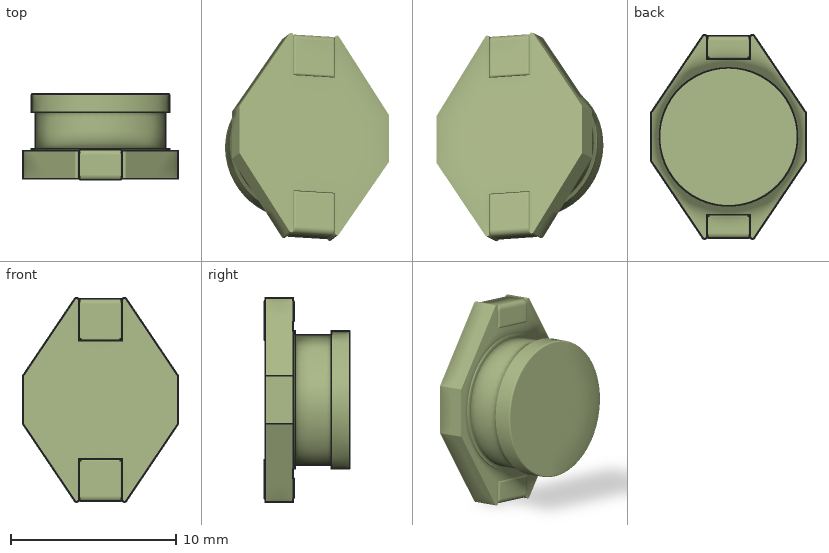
import cadquery as cq
import math

plate_half_width = 4.7
plate_half_height = 6.18
plate_side_half_height = 1.46
plate_thickness = 1.71
horn_radius = 0.14

terminal_half_width = 1.29
terminal_top = 6.14
terminal_bend_radius = 0.31
terminal_edge_radius = 0.11
terminal_thickness = 0.2
terminal_proud = 0.06
front_leg_end = 3.6
back_leg_end = 4.73
terminal_gap = 0.02

flange_radius = 4.18
barrel_radius = 3.96
lower_flange_top = 1.82
upper_flange_bottom = 4.02
spool_top = 5.15
spool_edge_radius = 0.09

pocket_half_width = terminal_half_width + terminal_gap
terminal_front = -terminal_proud
terminal_back = plate_thickness + terminal_proud
terminal_floor = terminal_top - terminal_thickness
front_leg_inside = terminal_front + terminal_thickness
back_leg_inside = terminal_back - terminal_thickness


def box_between(x_range, y_range, z_range):
    """Box spanning the given (low, high) ranges."""
    sizes = [high - low for low, high in (x_range, y_range, z_range)]
    corner = (x_range[0], y_range[0], z_range[0])
    return cq.Workplane("XY").box(*sizes, centered=False).translate(corner)


def make_end_pocket():
    """Seat for the upper terminal: open at the top, with a recess for each leg."""
    x_range = (-pocket_half_width, pocket_half_width)
    above_plate = 2 * plate_half_height
    front_recess_end = front_leg_end - terminal_gap
    back_recess_end = back_leg_end - terminal_gap
    notch = box_between(x_range, (0, plate_thickness), (terminal_floor, above_plate))
    front = box_between(x_range, (0, front_leg_inside), (front_recess_end, above_plate))
    back = box_between(x_range, (back_leg_inside, plate_thickness), (back_recess_end, above_plate))
    return notch.union(front).union(back)


def make_plate():
    """Octagon with a seat at each end; the horns left beside the seats have round tips."""
    tip_run = plate_half_width - pocket_half_width - horn_radius
    tip_rise = plate_half_height - horn_radius - plate_side_half_height
    tangent_turn = math.asin(horn_radius / math.hypot(tip_run, tip_rise))
    slant_angle = math.atan2(tip_rise, tip_run) + tangent_turn
    peak = plate_side_half_height + (plate_half_width - pocket_half_width) * math.tan(slant_angle)
    quarter = [
        (plate_half_width, plate_side_half_height),
        (pocket_half_width, peak),
        (pocket_half_width, terminal_floor),
    ]
    upper = quarter + [(-x, z) for x, z in reversed(quarter)]
    lower = [(-x, -z) for x, z in upper]
    plate = cq.Workplane("XZ").polyline(upper + lower).close().extrude(-plate_thickness)
    return plate.edges("|Y").edges(">Z or <Z").fillet(horn_radius)


def make_terminal():
    """Upper terminal clip with bent outer corners and rounded outer edges."""
    clip = (
        cq.Workplane("YZ")
        .moveTo(terminal_front, front_leg_end)
        .lineTo(terminal_front, terminal_top - terminal_bend_radius)
        .radiusArc((terminal_front + terminal_bend_radius, terminal_top), terminal_bend_radius)
        .lineTo(terminal_back - terminal_bend_radius, terminal_top)
        .radiusArc((terminal_back, terminal_top - terminal_bend_radius), terminal_bend_radius)
        .lineTo(terminal_back, back_leg_end)
        .lineTo(back_leg_inside, back_leg_end)
        .lineTo(back_leg_inside, terminal_floor)
        .lineTo(front_leg_inside, terminal_floor)
        .lineTo(front_leg_inside, front_leg_end)
        .close()
        .extrude(terminal_half_width, both=True)
    )
    front_edges = clip.faces("<Y").edges("|Z or <Z")
    back_edge = clip.faces(">Y").edges("<Z")
    return clip.newObject(front_edges.vals() + back_edge.vals()).fillet(terminal_edge_radius)


def make_spool():
    """Two flanges and a barrel, revolved about Y from the back of the plate."""
    profile = [
        (plate_thickness, 0),
        (plate_thickness, flange_radius),
        (lower_flange_top, flange_radius),
        (lower_flange_top, barrel_radius),
        (upper_flange_bottom, barrel_radius),
        (upper_flange_bottom, flange_radius),
        (spool_top, flange_radius),
        (spool_top, 0),
    ]
    spool = cq.Workplane("YZ").polyline(profile).close().revolve(360, (0, 0), (1, 0))
    return spool.faces(">Y").edges().fillet(spool_edge_radius)


pocket = make_end_pocket()
terminal = make_terminal()
result = make_plate()
for end_seat in (pocket, pocket.mirror("XY")):
    result = result.cut(end_seat)
for end_terminal in (terminal, terminal.mirror("XY")):
    result = result.union(end_terminal)
result = result.union(make_spool())